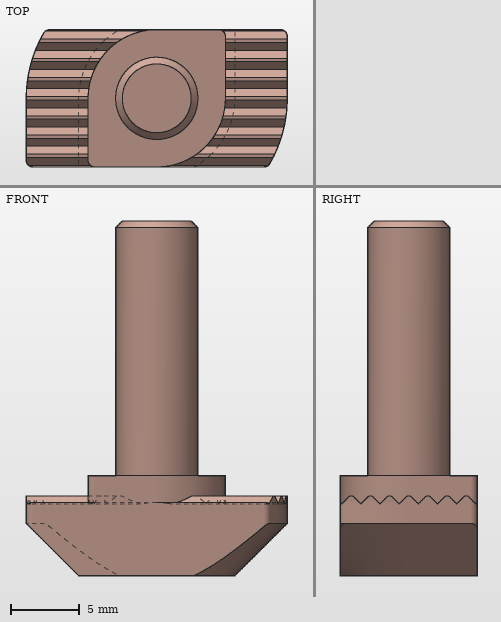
import cadquery as cq

total_height = 25.8
head_length = 19.0
width = 10.0
head_height = 5.8
end_wall_start = 3.82
collar_top = 7.28
stud_diameter = 6.0
stud_chamfer = 0.5
corner_radius = 0.5
tooth_pitch = 1.4
tooth_flat = 0.23
tooth_count = 7

half_length = head_length / 2
half_width = width / 2
bottom_half_length = half_length - end_wall_start
tooth_depth = (tooth_pitch - tooth_flat) / 2
valley_height = head_height - tooth_depth


def quarter_turn_body(profile):
    """Body with square +X+Y and -X-Y quadrants and revolved quadrants between them.

    The profile holds (distance from the axis, height) points, starting and ending on the axis.
    """
    square = cq.Workplane("XZ").polyline(profile).close().extrude(-half_width)
    rounded = (
        cq.Workplane("XZ").polyline(profile).close()
        .revolve(90, (0, 0, 0), (0, 1, 0))
        .rotate((0, 0, 0), (0, 0, 1), -90)
    )
    half = square.union(rounded)
    return half.union(half.rotate((0, 0, 0), (0, 0, 1), 180))


def upright_blank(radius, bottom, top):
    """Straight-sided quarter-turn body, trimmed to the width and with rounded corners."""
    blank = quarter_turn_body([(0, bottom), (radius, bottom), (radius, top), (0, top)])
    trim = cq.Workplane("XY").box(2 * radius, width, top, centered=(True, True, False))
    return blank.intersect(trim).clean()


def make_head():
    blank = upright_blank(half_length, 0, head_height)
    corners = blank.faces("<Y or >Y").edges("|Z")
    blank = corners.fillet(corner_radius)
    undercut = quarter_turn_body([
        (0, 0),
        (bottom_half_length, 0),
        (half_length, end_wall_start),
        (half_length, head_height),
        (0, head_height),
    ])
    return blank.intersect(undercut)


def make_serration_envelope():
    """Full-length bar whose top is a row of teeth running along X."""
    points = [(-tooth_count * tooth_pitch / 2, valley_height)]
    for index in range(tooth_count):
        centre = (index - (tooth_count - 1) / 2) * tooth_pitch
        points.append((centre - tooth_flat / 2, head_height))
        points.append((centre + tooth_flat / 2, head_height))
        points.append((centre + tooth_pitch / 2, valley_height))
    outer = tooth_count * tooth_pitch / 2 + tooth_depth
    points.append((outer, head_height))
    points.append((outer, 0))
    points.append((-outer, 0))
    points.append((-outer, head_height))
    return cq.Workplane("YZ").polyline(points).close().extrude(half_length, both=True)


def make_collar():
    collar = upright_blank(half_width, valley_height, collar_top)
    for corner in (1, -1):
        near_corner = cq.selectors.NearestToPointSelector(
            (corner * half_width, corner * half_width, (valley_height + collar_top) / 2)
        )
        collar = collar.edges(near_corner).fillet(corner_radius)
    return collar


def make_stud():
    return (
        cq.Workplane("XY").workplane(offset=valley_height)
        .circle(stud_diameter / 2)
        .extrude(total_height - valley_height)
        .faces(">Z").chamfer(stud_chamfer)
    )


result = make_head().intersect(make_serration_envelope()).union(make_collar()).union(make_stud())